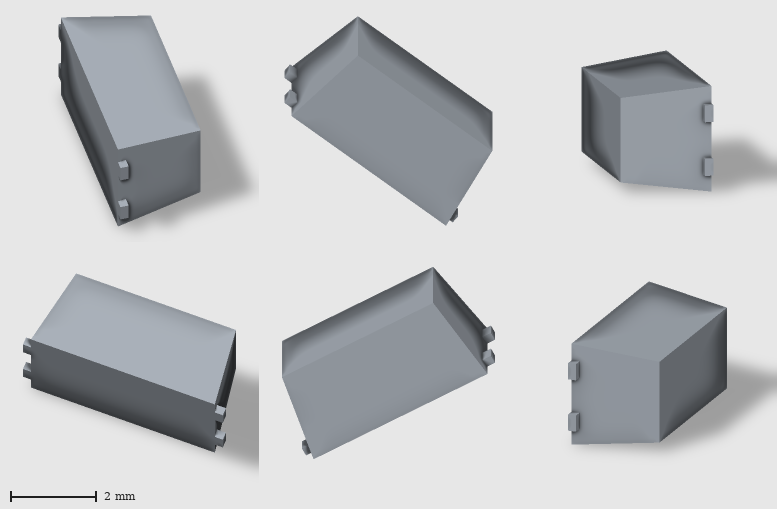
import cadquery as cq

body_depth = 2.1
base_length = 4.6
base_height = 2.5
far_length = 4.0
far_height = 2.0

terminal_span = 5.0
terminal_thickness = 0.2
terminal_width = 0.4
terminal_pitch = 1.27


def make_body():
    """Tapered block lofted along +Y between two centred rectangles."""
    return (
        cq.Workplane("XZ")
        .rect(base_length, base_height)
        .workplane(offset=-body_depth)
        .rect(far_length, far_height)
        .loft(ruled=True)
    )


def make_terminal_pair(center_z):
    """Bar through the body whose two ends stand out as terminals."""
    return (
        cq.Workplane("XY")
        .box(terminal_span, terminal_thickness, terminal_width)
        .translate((0, terminal_thickness / 2, center_z))
    )


result = make_body()
for side in (-1, 1):
    result = result.union(make_terminal_pair(side * terminal_pitch / 2))